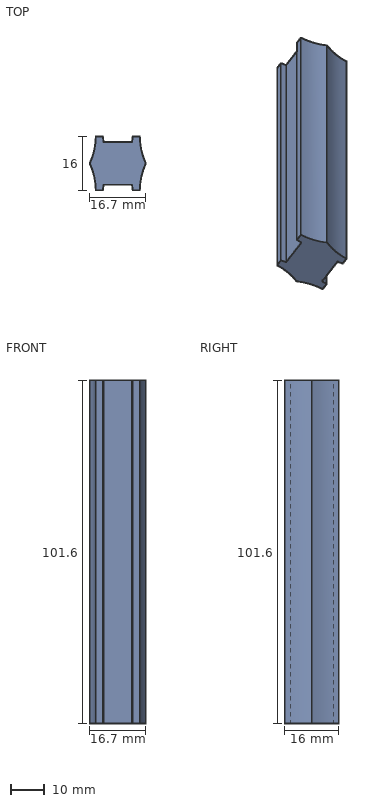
import cadquery as cq
import math

width = 16.67
depth = 16.03
length = 101.6

flank_radius = 18.88

groove_depth = 1.65
groove_floor_width = 8.35
groove_mouth_width = 8.79

half_width = width / 2
half_depth = depth / 2


def hollow(distance):
    """Departure of a flank from the rail corner's X, at a distance in Y from that corner."""
    return flank_radius - math.sqrt(flank_radius**2 - distance**2)


corner_x = half_width - hollow(half_depth)
flank_mid_y = half_depth / 2
flank_mid_x = corner_x + hollow(half_depth - flank_mid_y)


def make_body():
    """Four-cornered bar with two concave arcs meeting in a ridge on each side."""
    return (
        cq.Workplane("XY")
        .moveTo(-corner_x, half_depth)
        .lineTo(corner_x, half_depth)
        .threePointArc((flank_mid_x, flank_mid_y), (half_width, 0))
        .threePointArc((flank_mid_x, -flank_mid_y), (corner_x, -half_depth))
        .lineTo(-corner_x, -half_depth)
        .threePointArc((-flank_mid_x, -flank_mid_y), (-half_width, 0))
        .threePointArc((-flank_mid_x, flank_mid_y), (-corner_x, half_depth))
        .close()
        .extrude(length)
    )


def make_groove(side):
    """Full-length trapezoidal cutter for the +Y (side = 1) or -Y (side = -1) face."""
    mouth_y = side * half_depth
    floor_y = side * (half_depth - groove_depth)
    corners = [
        (-groove_mouth_width / 2, mouth_y),
        (-groove_floor_width / 2, floor_y),
        (groove_floor_width / 2, floor_y),
        (groove_mouth_width / 2, mouth_y),
    ]
    return cq.Workplane("XY").polyline(corners).close().extrude(length)


result = make_body()
for side in (1, -1):
    result = result.cut(make_groove(side))